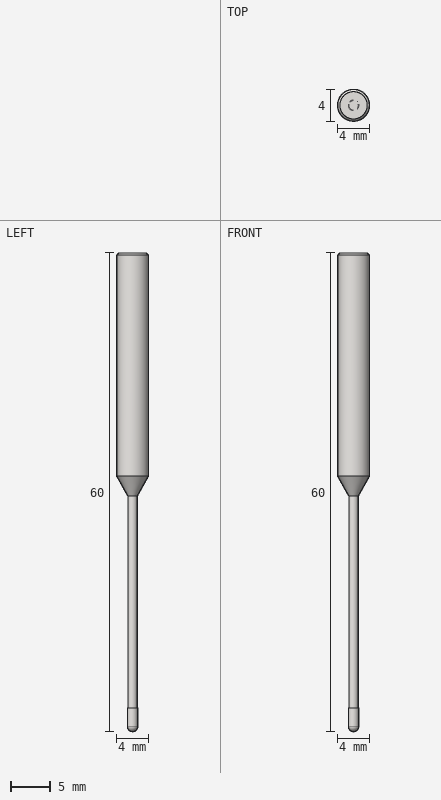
import cadquery as cq

total_length = 60.0
shank_diameter = 4.0
shank_length = 27.95
shank_chamfer = 0.3
taper_length = 2.5
neck_diameter = 1.2
cutter_diameter = 1.3
cutter_length = 3.0

shank_radius = shank_diameter / 2
neck_radius = neck_diameter / 2
cutter_radius = cutter_diameter / 2
shank_bottom = total_length - shank_length
taper_bottom = shank_bottom - taper_length


def make_holder():
    """Chamfered shank, conical taper and slender neck, turned as one body."""
    profile = (
        cq.Workplane("XZ")
        .moveTo(0, cutter_length)
        .lineTo(neck_radius, cutter_length)
        .lineTo(neck_radius, taper_bottom)
        .lineTo(shank_radius, shank_bottom)
        .lineTo(shank_radius, total_length - shank_chamfer)
        .lineTo(shank_radius - shank_chamfer, total_length)
        .lineTo(0, total_length)
        .close()
    )
    return profile.revolve(360, (0, 0, 0), (0, 1, 0))


def make_cutter():
    """Cylindrical cutting head with a hemispherical nose, touching the neck end."""
    profile = (
        cq.Workplane("XZ")
        .moveTo(0, 0)
        .radiusArc((cutter_radius, cutter_radius), -cutter_radius)
        .lineTo(cutter_radius, cutter_length)
        .lineTo(0, cutter_length)
        .close()
    )
    return profile.revolve(360, (0, 0, 0), (0, 1, 0))


holder = make_holder()
cutter = make_cutter()
result = cq.Compound.makeCompound([holder.val(), cutter.val()])